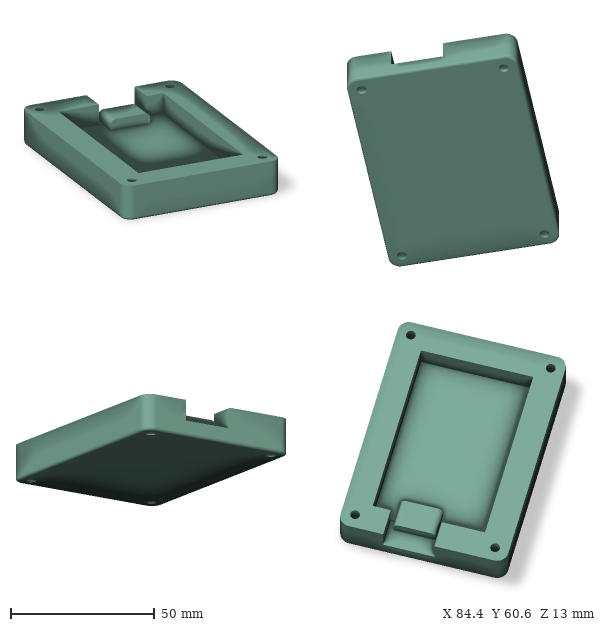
import cadquery as cq

LENGTH = 84.4
WIDTH = 60.6
HEIGHT = 13.0
CORNER_RADIUS = 4.0
BOTTOM_EDGE_RADIUS = 1.0

WALL = 10.0
POCKET_DEPTH = 8.2
POCKET_FLOOR = HEIGHT - POCKET_DEPTH

PAD_GAP = 0.3
PAD_HEIGHT = 0.5

HOLE_DIAMETER = 3.4
HOLE_INSET = 5.0

NOTCH_WIDTH = 18.5
NOTCH_DEPTH = 7.5
NOTCH_CENTER_Y = 4.55
NOTCH_FLOOR = HEIGHT - NOTCH_DEPTH

BLOCK_LENGTH = 10.2
BLOCK_WIDTH = 15.2
BLOCK_INSET = 6.6
BLOCK_RISE = 4.0
BLOCK_CENTER_Y = 4.3
BLOCK_EDGE_RADIUS = 2.0


def box_between(x_min, x_max, center_y, width, z_min, z_max):
    """Box spanning the given X and Z ranges, centred on center_y."""
    return (
        cq.Workplane("XY")
        .box(x_max - x_min, width, z_max - z_min, centered=(False, True, False))
        .translate((x_min, center_y, z_min))
    )


def make_body():
    """Rounded plate with a rounded bottom rim."""
    body = cq.Workplane("XY").box(LENGTH, WIDTH, HEIGHT, centered=(True, True, False))
    body = body.edges("|Z").fillet(CORNER_RADIUS)
    return body.faces("<Z").edges().fillet(BOTTOM_EDGE_RADIUS)


def make_pocket():
    """Volume of the central pocket."""
    half_length = LENGTH / 2 - WALL
    return box_between(-half_length, half_length, 0, WIDTH - 2 * WALL, POCKET_FLOOR, HEIGHT)


def make_pad():
    """Flat pad that leaves a thin groove along the pocket walls."""
    half_length = LENGTH / 2 - WALL - PAD_GAP
    pad_width = WIDTH - 2 * (WALL + PAD_GAP)
    return box_between(-half_length, half_length, 0, pad_width, POCKET_FLOOR, POCKET_FLOOR + PAD_HEIGHT)


def make_notch():
    """Volume of the notch that joins the pocket to the -X side."""
    x_outer = -LENGTH / 2
    return box_between(x_outer, x_outer + WALL, NOTCH_CENTER_Y, NOTCH_WIDTH, NOTCH_FLOOR, HEIGHT)


def make_holes():
    """Four through holes in the corners."""
    return (
        cq.Workplane("XY")
        .rect(LENGTH - 2 * HOLE_INSET, WIDTH - 2 * HOLE_INSET, forConstruction=True)
        .vertices()
        .circle(HOLE_DIAMETER / 2)
        .extrude(HEIGHT)
    )


def make_block():
    """Connector block rising from the pocket floor level, long top edges rounded."""
    x_start = -LENGTH / 2 + BLOCK_INSET
    x_end = x_start + BLOCK_LENGTH
    block = box_between(
        x_start, x_end, BLOCK_CENTER_Y, BLOCK_WIDTH, POCKET_FLOOR, NOTCH_FLOOR + BLOCK_RISE
    )
    return block.faces(">Z").edges("|X").fillet(BLOCK_EDGE_RADIUS)


result = (
    make_body()
    .cut(make_pocket())
    .cut(make_notch())
    .cut(make_holes())
    .union(make_pad())
    .union(make_block())
)